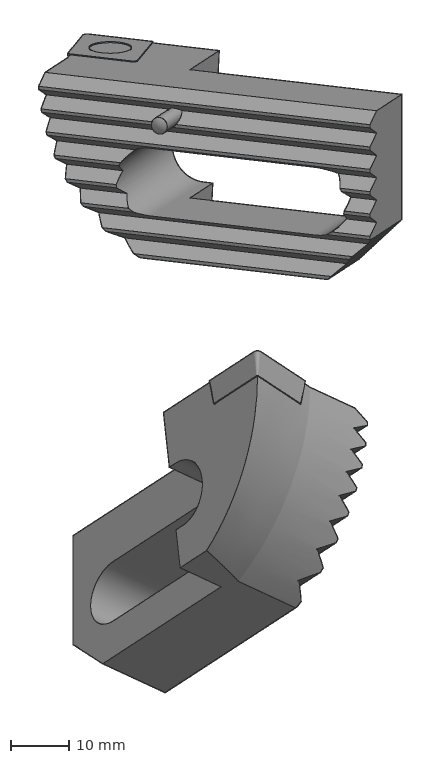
import cadquery as cq
import math


length = 64.8
holder_top = -0.2
holder_bottom = -30.6
nose_radius = 33.7
nose_left = 2.85
nose_axis_x = nose_left + nose_radius
nose_straight_depth = 12.95
nose_flare_angle = 10.0
arm_depth = 14.2
head_right = 25.2
head_depth = 27.2
head_rear_angle = 7.1
corner_chamfer = 8.0

full_tooth_count = 7
full_teeth_height = 28.0
tooth_pitch = full_teeth_height / full_tooth_count
tooth_tip_width = 0.6
groove_count = full_tooth_count + 2
tooth_flank_angle = 60.0
tooth_half_gap = (tooth_pitch - tooth_tip_width) / 2
tooth_depth = tooth_half_gap * math.tan(math.radians(tooth_flank_angle))

slot_length = 42.7
slot_height = 12.25
slot_center_x = 38.7
slot_center_z = -17.05

insert_width = 12.7
insert_angle = 80.0
insert_thickness = 4.7
insert_relief_angle = 7.0
insert_corner_radius = 0.8
insert_rear = 27.4
insert_hole_top_diameter = 7.3
insert_hole_bottom_diameter = 5.5

pin_diameter = 3.0
pin_x = 27.3
pin_z = -5.1
pin_tip = -4.85
pin_dome_height = 0.5
pin_seat_depth = 6.5


def nose_x(z):
    """X of the curved left side at height z, in its straight front part."""
    return nose_axis_x - math.sqrt(nose_radius**2 - (z - holder_top) ** 2)


def make_arm():
    """Constant section along Y: curved left side and chamfered lower right corner."""
    middle_z = (holder_top + holder_bottom) / 2
    return (
        cq.Workplane("XZ")
        .moveTo(nose_left, holder_top)
        .lineTo(length, holder_top)
        .lineTo(length, holder_bottom + corner_chamfer)
        .lineTo(length - corner_chamfer, holder_bottom)
        .lineTo(nose_x(holder_bottom), holder_bottom)
        .threePointArc((nose_x(middle_z), middle_z), (nose_left, holder_top))
        .close()
        .extrude(-arm_depth)
    )


def make_head():
    """Block behind the arm, with a conical left side and a leaning rear face."""
    height = holder_top - holder_bottom
    rear_run = height * math.tan(math.radians(head_rear_angle))
    block = (
        cq.Workplane("YZ")
        .moveTo(nose_straight_depth, holder_top)
        .lineTo(head_depth, holder_top)
        .lineTo(head_depth - rear_run, holder_bottom)
        .lineTo(nose_straight_depth, holder_bottom)
        .close()
        .extrude(head_right)
    )
    flare_depth = head_depth - nose_straight_depth
    flare = cq.Solid.makeCone(
        nose_radius,
        nose_radius + flare_depth * math.tan(math.radians(nose_flare_angle)),
        flare_depth,
        pnt=cq.Vector(nose_axis_x, nose_straight_depth, holder_top),
        dir=cq.Vector(0, 1, 0),
    )
    return block.intersect(cq.Workplane(obj=flare))


def make_groove(center_z):
    """V-groove between neighbouring teeth, along the whole length."""
    return (
        cq.Workplane("YZ")
        .moveTo(0, center_z + tooth_half_gap)
        .lineTo(tooth_depth, center_z)
        .lineTo(0, center_z - tooth_half_gap)
        .close()
        .extrude(length)
    )


def make_slot():
    """Round-ended slot cutter, right through the holder along Y."""
    return (
        cq.Workplane("XZ")
        .center(slot_center_x, slot_center_z)
        .slot2D(slot_length, slot_height)
        .extrude(-head_depth)
    )


def make_insert():
    """Rhombic insert, narrowing downward, with a tapered centre hole."""
    angle = math.radians(insert_angle)
    side = insert_width / math.sin(angle)
    lean = insert_width / math.tan(angle)
    corner_x = insert_corner_radius * (1 - 1 / math.tan(angle / 2))
    front = insert_rear - insert_width
    center_x = corner_x + (side + lean) / 2
    center_y = insert_rear - insert_width / 2
    rhombus = [
        (corner_x, insert_rear),
        (corner_x + side, insert_rear),
        (corner_x + side + lean, front),
        (corner_x + lean, front),
    ]
    outline = (
        cq.Sketch()
        .polygon([*rhombus, rhombus[0]])
        .vertices("<X or >X")
        .fillet(insert_corner_radius)
    )
    blank = (
        cq.Workplane("XY")
        .placeSketch(outline)
        .extrude(-insert_thickness, taper=insert_relief_angle)
    )
    hole = cq.Solid.makeCone(
        insert_hole_top_diameter / 2,
        insert_hole_bottom_diameter / 2,
        insert_thickness,
        pnt=cq.Vector(center_x, center_y, 0),
        dir=cq.Vector(0, 0, -1),
    )
    return blank.cut(cq.Workplane(obj=hole))


def make_pin():
    """Dowel pin along Y with a domed front end."""
    radius = pin_diameter / 2
    dome_radius = (radius**2 + pin_dome_height**2) / (2 * pin_dome_height)
    half_dome_angle = math.asin(radius / dome_radius) / 2
    dome_middle = (
        dome_radius * math.sin(half_dome_angle),
        pin_tip + dome_radius * (1 - math.cos(half_dome_angle)),
    )
    return (
        cq.Workplane("XY")
        .moveTo(0, pin_tip)
        .threePointArc(dome_middle, (radius, pin_tip + pin_dome_height))
        .lineTo(radius, pin_seat_depth)
        .lineTo(0, pin_seat_depth)
        .close()
        .revolve(360, (0, 0, 0), (0, 1, 0))
        .translate((pin_x, 0, pin_z))
    )


def make_holder(insert, pin):
    """Serrated holder; a plug left in the insert pocket fills the insert's hole."""
    holder = make_arm().union(make_head())
    for index in range(groove_count):
        holder = holder.cut(make_groove(holder_top - index * tooth_pitch))
    return holder.cut(make_slot()).cut(insert).cut(pin)


insert = make_insert()
pin = make_pin()
holder = make_holder(insert, pin)

result = cq.Compound.makeCompound([holder.solids().val(), insert.solids().val(), pin.val()])